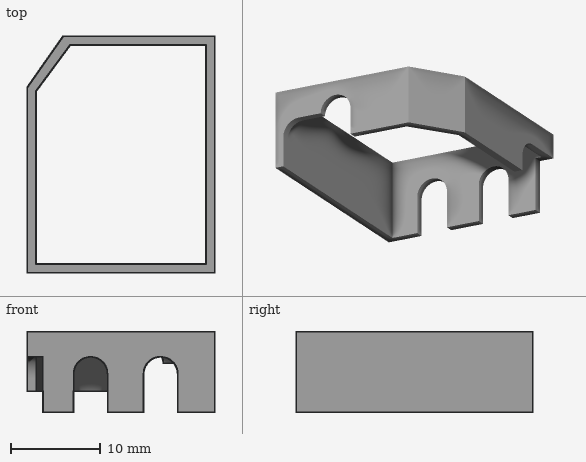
import cadquery as cq

width = 21.07
length = 26.57
height = 9.05
wall = 1.0
corner_x = 4.05
corner_y = 5.77
inner_corner_x = 3.83
inner_corner_y = 5.18
inner_right = width - wall
inner_back = length - wall

raised_edge = 2.35

arch_width = 3.8
arch_top = 6.22
arch_centers = (7.12, 14.99)

notch_length = 7.33
notch_inset = 1.75
notch_radius = 2.35

back_arch_left = 11.48
back_arch_top = 7.35
wide_opening_top = 5.5
wide_opening_radius = 2.0


def box(x0, x1, y0, y1, z0, z1):
    """Axis-aligned block between the given limits."""
    return cq.Workplane("XY").box(x1 - x0, y1 - y0, z1 - z0, centered=False).translate((x0, y0, z0))


def angled_block(x0, x1, y0, y1, cut_x, cut_y):
    """Full-height block with its back left corner cut at an angle."""
    return (
        cq.Workplane("XY")
        .polyline([
            (x0, y0),
            (x1, y0),
            (x1, y1),
            (x0 + cut_x, y1),
            (x0, y1 - cut_y),
        ])
        .close()
        .extrude(height)
    )


def arch_cutter(center_x, top, y_start):
    """Round-topped slot through one wall, open at the bottom."""
    radius = arch_width / 2
    spring = top - radius
    return (
        cq.Workplane("XZ", origin=(center_x, y_start, 0))
        .moveTo(-radius, 0)
        .lineTo(-radius, spring)
        .threePointArc((0, top), (radius, spring))
        .lineTo(radius, 0)
        .close()
        .extrude(-wall)
    )


outer = angled_block(0, width, 0, length, corner_x, corner_y)
inner = angled_block(wall, inner_right, wall, inner_back, inner_corner_x, inner_corner_y)
frame = outer.cut(inner)

frame = frame.cut(box(0, inner_right, wall, length, 0, raised_edge))

for center_x in arch_centers:
    frame = frame.cut(arch_cutter(center_x, arch_top, 0))

notch = box(0, notch_inset, 0, notch_length, 0, arch_top)
notch = notch.edges("|X and >Y and >Z").fillet(notch_radius)
frame = frame.cut(notch)

back_arch_center = back_arch_left + arch_width / 2
frame = frame.cut(arch_cutter(back_arch_center, back_arch_top, inner_back))

wide_opening = box(back_arch_center, inner_right, inner_back, length, 0, wide_opening_top)
wide_opening = wide_opening.edges("|Y and >X and >Z").fillet(wide_opening_radius)
result = frame.cut(wide_opening)